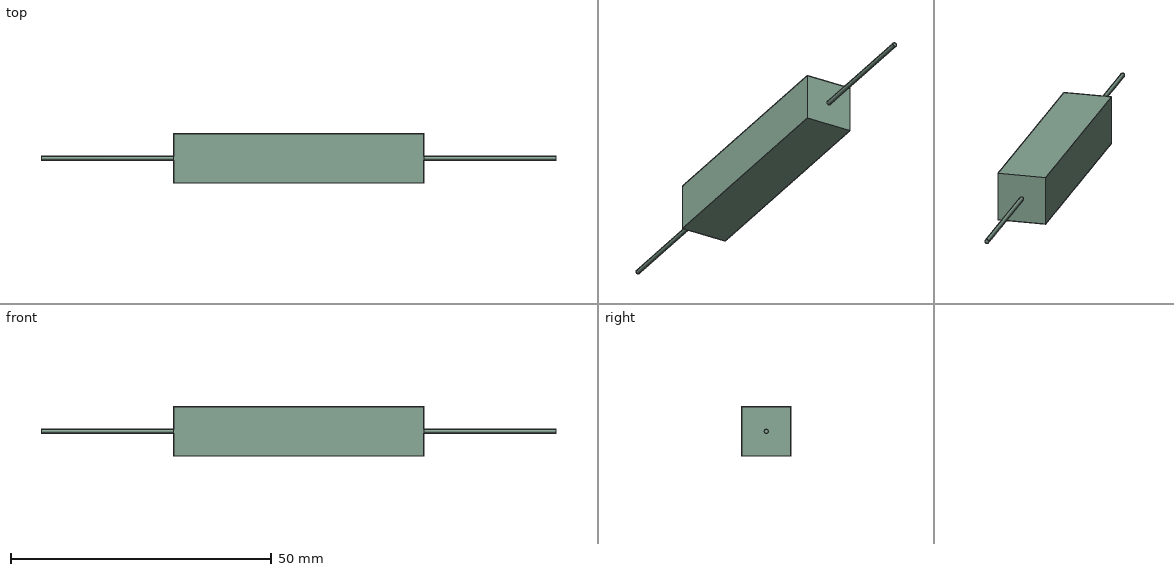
import cadquery as cq

body_length = 48.0
body_side = 9.5
lead_length = 25.4
lead_diameter = 0.8


def make_body():
    """Square block centred on the origin, long axis along X."""
    return cq.Workplane("XY").box(body_length, body_side, body_side)


def make_lead(direction):
    """Round wire running outward from the end face on the given side (-1 or +1) of the X axis."""
    return (
        cq.Workplane("YZ", origin=(direction * body_length / 2, 0, 0))
        .circle(lead_diameter / 2)
        .extrude(direction * lead_length)
    )


body = make_body()
leads = [make_lead(direction) for direction in (-1, 1)]

result = cq.Compound.makeCompound([body.val(), *[lead.val() for lead in leads]])